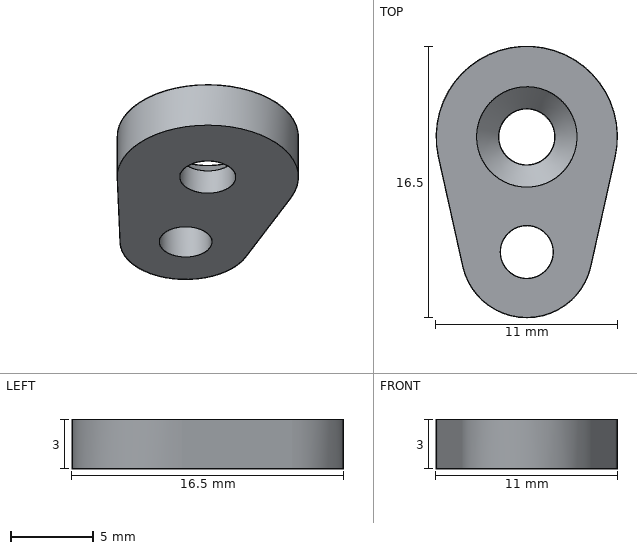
import cadquery as cq
import math

length = 16.48
thickness = 3.0

large_radius = 5.5
hole_spacing = 6.99
small_radius = length - large_radius - hole_spacing

large_hole_diameter = 3.4
small_hole_diameter = 3.2
countersink_diameter = 6.1
countersink_angle = 90.0


def plate():
    """Two round ends joined by straight sides tangent to both."""
    tangent_angle = math.asin((large_radius - small_radius) / hole_spacing)
    across = math.cos(tangent_angle)
    along = -math.sin(tangent_angle)
    large_x = large_radius * across
    large_y = large_radius * along
    small_x = small_radius * across
    small_y = small_radius * along - hole_spacing
    return (
        cq.Workplane("XY")
        .moveTo(large_x, large_y)
        .threePointArc((0, large_radius), (-large_x, large_y))
        .lineTo(-small_x, small_y)
        .threePointArc((0, -hole_spacing - small_radius), (small_x, small_y))
        .close()
        .extrude(thickness)
    )


def add_holes(body):
    """Countersunk hole in the large end and a plain hole in the small end."""
    top = cq.Workplane("XY", origin=(0, 0, thickness))
    body = body.copyWorkplane(top).cskHole(large_hole_diameter, countersink_diameter, countersink_angle)
    return body.copyWorkplane(top).center(0, -hole_spacing).hole(small_hole_diameter)


result = add_holes(plate())